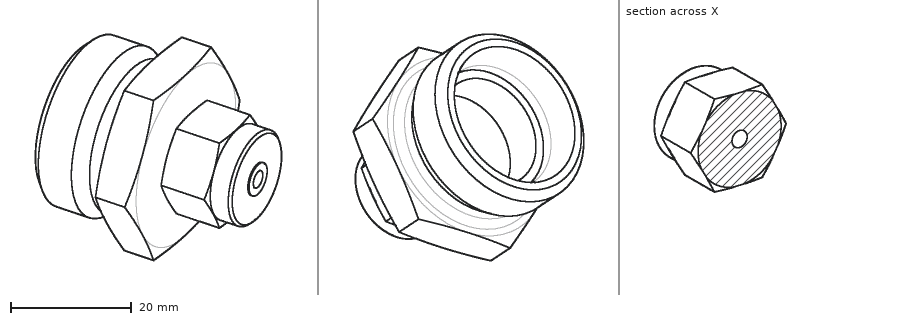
import cadquery as cq
import math

stud_chamfer = 1.5
thread_end = 7.9
groove_start = 10.5
groove_end = 12.67
body_hex_start = 14.0
body_hex_end = 21.0
nut_start = 21.8
nut_end = 30.8
sleeve_end = 34.77
total_length = 35.0

thread_radius = 15.0
groove_radius = 13.5
groove_fillet = body_hex_start - groove_end
body_hex_flats = 32.0
nut_flats = 17.0
hex_chamfer_angle = 15
neck_radius = 5.0
sleeve_radius = 8.42
sleeve_chamfer = 0.48
end_pad_radius = 2.92

mouth_radius = 12.15
seat_half_angle = 12
tube_radius = 11.0
tube_stop_depth = 7.5
bore_radius = 9.5
bore_depth = 15.0
drill_half_angle = 59
orifice_radius = 1.5


def tangent(degrees):
    return math.tan(math.radians(degrees))


def revolve_about_x(profile):
    """Turn a closed half profile, drawn as (x, radius), around the X axis."""
    return profile.close().revolve(360, (0, 0, 0), (1, 0, 0))


def chamfered_hexagon(start, end, flats):
    """Hexagonal prism along X with flats facing up and down and turned corners at both ends."""
    corner_radius = flats / 2 / math.cos(math.radians(30))
    chamfer_length = (corner_radius - flats / 2) * tangent(hex_chamfer_angle)
    prism = (
        cq.Workplane("YZ", origin=(start, 0, 0))
        .polygon(6, 2 * corner_radius)
        .extrude(end - start)
    )
    turned_envelope = revolve_about_x(
        cq.Workplane("XY")
        .moveTo(start, 0)
        .lineTo(start, flats / 2)
        .lineTo(start + chamfer_length, corner_radius)
        .lineTo(end - chamfer_length, corner_radius)
        .lineTo(end, flats / 2)
        .lineTo(end, 0)
    )
    return prism.intersect(turned_envelope)


def turned_body():
    """Threaded stud with its relief groove, the neck, the sleeve and the end pad."""
    arc_reach = groove_fillet * math.sin(math.radians(45))
    fillet_middle = (
        groove_end + arc_reach,
        groove_radius + groove_fillet - arc_reach,
    )
    return revolve_about_x(
        cq.Workplane("XY")
        .moveTo(0, 0)
        .lineTo(0, thread_radius - stud_chamfer)
        .lineTo(stud_chamfer, thread_radius)
        .lineTo(thread_end, thread_radius)
        .lineTo(groove_start, groove_radius)
        .lineTo(groove_end, groove_radius)
        .threePointArc(fillet_middle, (body_hex_start, groove_radius + groove_fillet))
        .lineTo(body_hex_end, groove_radius + groove_fillet)
        .lineTo(body_hex_end, neck_radius)
        .lineTo(nut_end, neck_radius)
        .lineTo(nut_end, sleeve_radius)
        .lineTo(sleeve_end - sleeve_chamfer, sleeve_radius)
        .lineTo(sleeve_end, sleeve_radius - sleeve_chamfer)
        .lineTo(sleeve_end, end_pad_radius)
        .lineTo(total_length, end_pad_radius)
        .lineTo(total_length, 0)
    )


def tube_socket():
    """Tapered mouth, tube stop, drilled bore with a conical bottom and the through orifice."""
    seat_depth = (mouth_radius - tube_radius) / tangent(seat_half_angle)
    drill_tip_length = (bore_radius - orifice_radius) / tangent(drill_half_angle)
    return revolve_about_x(
        cq.Workplane("XY")
        .moveTo(0, 0)
        .lineTo(0, mouth_radius)
        .lineTo(seat_depth, tube_radius)
        .lineTo(tube_stop_depth, tube_radius)
        .lineTo(tube_stop_depth, bore_radius)
        .lineTo(bore_depth, bore_radius)
        .lineTo(bore_depth + drill_tip_length, orifice_radius)
        .lineTo(total_length, orifice_radius)
        .lineTo(total_length, 0)
    )


body_hex = chamfered_hexagon(body_hex_start, body_hex_end, body_hex_flats)
nut = chamfered_hexagon(nut_start, nut_end, nut_flats)
fitting = turned_body().union(body_hex).union(nut).cut(tube_socket())

result = fitting.translate((-total_length / 2, 0, 0))